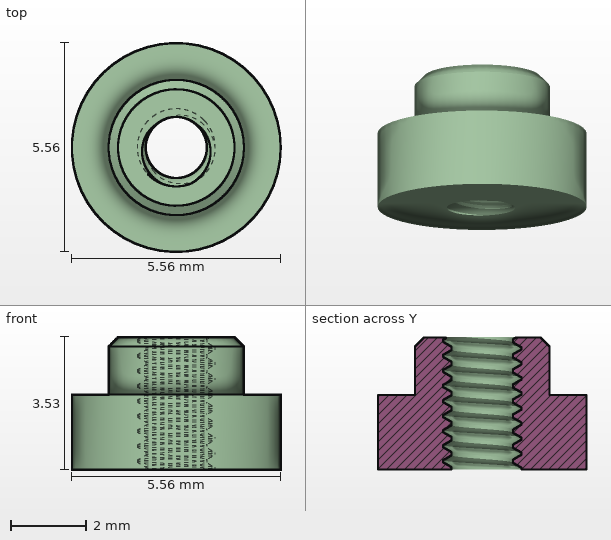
import cadquery as cq
import math


BASE_DIAMETER = 5.56
BASE_HEIGHT = 2.0
BOSS_DIAMETER = 3.6
TOTAL_HEIGHT = 3.53
BOSS_CHAMFER = 0.25

THREAD_MINOR_DIAMETER = 1.62
THREAD_MAJOR_DIAMETER = 2.07
THREAD_PITCH = 0.4
THREAD_FLANK_ANGLE = 30.0
THREAD_ROOT_FLAT = THREAD_PITCH / 8
THREAD_OVERRUN_TURNS = 1
BORE_OVERLAP = 0.04
GROOVE_TOP_ANGLE = -90.0


def make_body():
    """Base disc with a chamfered boss on top."""
    base = cq.Workplane("XY").circle(BASE_DIAMETER / 2).extrude(BASE_HEIGHT)
    boss = cq.Workplane("XY").circle(BOSS_DIAMETER / 2).extrude(TOTAL_HEIGHT)
    boss = boss.faces(">Z").chamfer(BOSS_CHAMFER)
    return base.union(boss)


def make_bore():
    """Through bore at the minor diameter of the thread."""
    return cq.Workplane("XY").circle(THREAD_MINOR_DIAMETER / 2).extrude(TOTAL_HEIGHT)


def make_thread_groove():
    """Helical groove with a trapezoidal section, running past both end faces."""
    inner_radius = THREAD_MINOR_DIAMETER / 2 - BORE_OVERLAP
    root_radius = THREAD_MAJOR_DIAMETER / 2
    half_root = THREAD_ROOT_FLAT / 2
    flank_rise = (root_radius - inner_radius) * math.tan(math.radians(THREAD_FLANK_ANGLE))
    half_opening = half_root + flank_rise
    section_corners = [
        (inner_radius, -half_opening),
        (root_radius, -half_root),
        (root_radius, half_root),
        (inner_radius, half_opening),
    ]

    top_turns = math.ceil(TOTAL_HEIGHT / THREAD_PITCH) + THREAD_OVERRUN_TURNS
    helix_height = (top_turns + THREAD_OVERRUN_TURNS) * THREAD_PITCH
    start_height = TOTAL_HEIGHT - top_turns * THREAD_PITCH

    helices = []
    for radius, offset in section_corners:
        helix = cq.Wire.makeHelix(THREAD_PITCH, helix_height, radius)
        helices.append(helix.translate(cq.Vector(0, 0, offset)))
    faces = []
    for index, helix in enumerate(helices):
        faces.append(cq.Face.makeRuledSurface(helices[index - 1], helix))
    for corners in (
        [helix.startPoint() for helix in helices],
        [helix.endPoint() for helix in helices],
    ):
        faces.append(cq.Face.makeFromWires(cq.Wire.makePolygon(corners, close=True)))
    groove = cq.Workplane(cq.Solid.makeSolid(cq.Shell.makeShell(faces)))

    groove = groove.rotate((0, 0, 0), (0, 0, 1), GROOVE_TOP_ANGLE)
    return groove.translate((0, 0, start_height))


result = make_body().cut(make_thread_groove()).cut(make_bore())